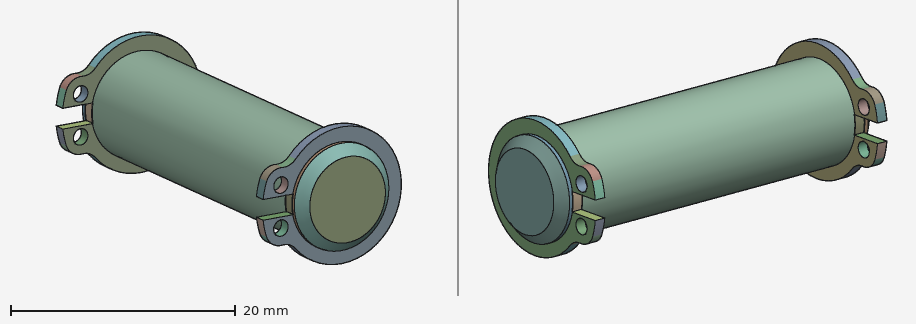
import cadquery as cq
import math

pin_length = 37.0
pin_radius = 10.0 / 2
end_chamfer = 1.0

ring_thickness = 1.1
ring_end_distance = 1.4
groove_radius = 4.92
ring_radius = 6.35
ring_offset = 0.22

gap_half_width = 0.95
lug_hole_radius = 1.5 / 2
lug_hole_y = -6.15
lug_hole_z = 2.0
lug_radius = 1.63
lug_blend_radius = 1.63
lug_tip_radius = 8.085


def circle_crossing(center_a, radius_a, center_b, radius_b, side):
    """Crossing of two circles; side +1 is left of the line from a to b, -1 is right."""
    dy = center_b[0] - center_a[0]
    dz = center_b[1] - center_a[1]
    distance = math.hypot(dy, dz)
    along = (radius_a**2 - radius_b**2 + distance**2) / (2 * distance)
    across = side * math.sqrt(radius_a**2 - along**2)
    return (
        center_a[0] + (along * dy - across * dz) / distance,
        center_a[1] + (along * dz + across * dy) / distance,
    )


def point_toward(center, target, radius):
    """Point on a circle in the direction of the target."""
    dy = target[0] - center[0]
    dz = target[1] - center[1]
    scale = radius / math.hypot(dy, dz)
    return (center[0] + dy * scale, center[1] + dz * scale)


def midpoint(a, b):
    return ((a[0] + b[0]) / 2, (a[1] + b[1]) / 2)


def mirrored(point):
    return (point[0], -point[1])


def make_pin():
    pin = cq.Workplane("YZ").circle(pin_radius).extrude(pin_length)
    return pin.faces("<X or >X").chamfer(end_chamfer)


def make_groove(x):
    return (
        cq.Workplane("YZ", origin=(x, 0, 0))
        .circle(pin_radius)
        .circle(groove_radius)
        .extrude(ring_thickness)
    )


def make_ring(x):
    axis = (0.0, 0.0)
    ring_center = (ring_offset, 0.0)
    hole = (lug_hole_y, lug_hole_z)

    blend_center = circle_crossing(
        ring_center, ring_radius + lug_blend_radius, hole, lug_radius + lug_blend_radius, -1
    )
    blend_start = point_toward(ring_center, blend_center, ring_radius)
    blend_end = point_toward(hole, blend_center, lug_radius)
    blend_middle = point_toward(blend_center, midpoint(blend_start, blend_end), lug_blend_radius)

    tip_start = circle_crossing(axis, lug_tip_radius, hole, lug_radius, -1)
    lug_middle = point_toward(hole, midpoint(blend_end, tip_start), lug_radius)
    tip_end = (-math.sqrt(lug_tip_radius**2 - gap_half_width**2), gap_half_width)
    tip_middle = point_toward(axis, midpoint(tip_start, tip_end), lug_tip_radius)
    gap_end = (-math.sqrt(groove_radius**2 - gap_half_width**2), gap_half_width)

    profile = (
        cq.Workplane("YZ", origin=(x, 0, 0))
        .moveTo(*gap_end)
        .lineTo(*tip_end)
        .threePointArc(tip_middle, tip_start)
        .threePointArc(lug_middle, blend_end)
        .threePointArc(blend_middle, blend_start)
        .threePointArc((ring_offset + ring_radius, 0), mirrored(blend_start))
        .threePointArc(mirrored(blend_middle), mirrored(blend_end))
        .threePointArc(mirrored(lug_middle), mirrored(tip_start))
        .threePointArc(mirrored(tip_middle), mirrored(tip_end))
        .lineTo(*mirrored(gap_end))
        .threePointArc((groove_radius, 0), gap_end)
        .close()
    )
    holes = (
        cq.Workplane("YZ", origin=(x, 0, 0))
        .pushPoints([hole, mirrored(hole)])
        .circle(lug_hole_radius)
        .extrude(ring_thickness)
    )
    return profile.extrude(ring_thickness).cut(holes)


result = make_pin()
for ring_x in (ring_end_distance, pin_length - ring_end_distance - ring_thickness):
    result = result.cut(make_groove(ring_x)).union(make_ring(ring_x))